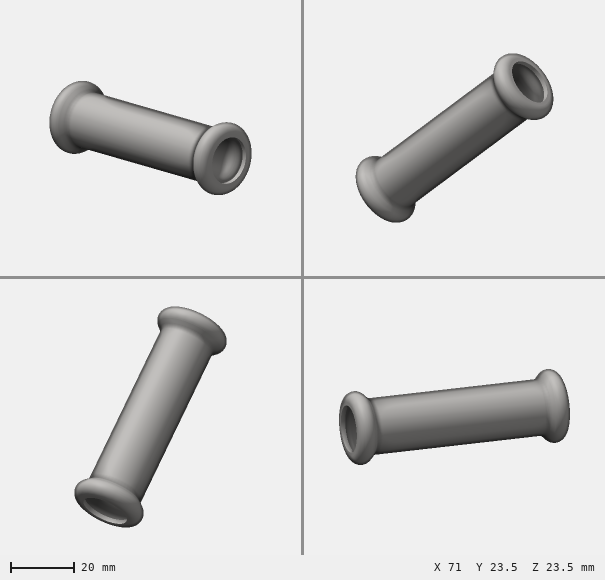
import cadquery as cq
import math

length = 71.0
tube_radius = 18.0 / 2
bore_radius = 7.5
wall = tube_radius - bore_radius
bead_outer_radius = 23.5 / 2
bead_arc_radius = 3.0
flare_angle = math.radians(45)
bend_radius = 2.0

bead_center_radius = bead_outer_radius - bead_arc_radius
bend_center_radius = tube_radius + bend_radius
center_gap = (
    (bead_arc_radius + bend_radius)
    - (bend_center_radius - bead_center_radius) * math.cos(flare_angle)
) / math.sin(flare_angle)
bead_center = (bead_arc_radius, bead_center_radius)
bend_center = (bead_arc_radius + center_gap, bend_center_radius)


def arc_point(center, radius, angle):
    """Point on an arc in the (axial, radial) plane; angle is from the axis."""
    return (
        center[0] + radius * math.cos(angle),
        center[1] + radius * math.sin(angle),
    )


def mirrored(point):
    """Matching point at the opposite end of the tube."""
    return (length - point[0], point[1])


def skin_solid(depth):
    """Solid of revolution bounded by the wall skin at a depth below the outside."""
    bead = bead_arc_radius - depth
    bend = bend_radius + depth
    normal = math.pi / 2 - flare_angle
    bead_start = arc_point(bead_center, bead, math.pi)
    bead_crest = arc_point(bead_center, bead, math.pi / 2)
    bead_end = arc_point(bead_center, bead, normal)
    bend_start = arc_point(bend_center, bend, math.pi + normal)
    bend_middle = arc_point(bend_center, bend, 3 * math.pi / 2 - flare_angle / 2)
    bend_end = arc_point(bend_center, bend, 3 * math.pi / 2)
    axis_start = (depth, 0)

    profile = (
        cq.Workplane("XY")
        .moveTo(*axis_start)
        .lineTo(*bead_start)
        .threePointArc(bead_crest, bead_end)
        .lineTo(*bend_start)
        .threePointArc(bend_middle, bend_end)
        .lineTo(*mirrored(bend_end))
        .threePointArc(mirrored(bend_middle), mirrored(bend_start))
        .lineTo(*mirrored(bead_end))
        .threePointArc(mirrored(bead_crest), mirrored(bead_start))
        .lineTo(*mirrored(axis_start))
        .close()
    )
    return profile.revolve(360, (0, 0, 0), (1, 0, 0))


outside = skin_solid(0)
cavity = skin_solid(wall)
bore = cq.Workplane("YZ").circle(bore_radius).extrude(length)
result = outside.cut(cavity).cut(bore).translate((-length / 2, 0, 0))